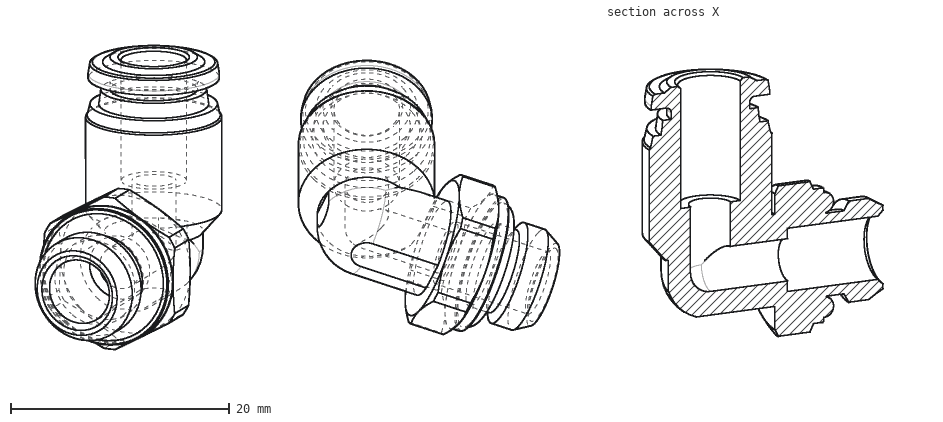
import cadquery as cq
import math

elbow_radius = 4.54
elbow_flat = 4.3
passage_radius = 4.0 / 2
bore_radius = 6.0 / 2

body_radius = 12.5 / 2
body_cone_bottom = 1.49
body_bottom = 3.48
body_top = 12.3
body_bevel_radius = 6.1
body_bevel_bottom = 12.47
body_shoulder_radius = 5.85
body_shoulder = 13.55
collar_bottom_radius = 5.05
collar_radius = 9.73 / 2
collar_top = 14.95
neck_radius = 4.0
neck_fillet = 0.48
button_bottom = 16.03
button_radius = 6.02
button_band_top = 16.45
button_shoulder_radius = 5.87
button_shoulder = 17.55
button_edge_radius = 5.62
button_edge_height = 0.15
rim_base_radius = 4.69
socket_top = 18.0
socket_floor = 6.3
socket_chamfer = 0.28

hex_start = 6.5
hex_end = 10.43
hex_across_flats = 13.0
hex_corner_radius = 7.2
hex_chamfer_length = 0.35
flange_radius = 12.9 / 2
flange_end = 11.5
flange_chamfer = 0.1
seal_outer_radius = 12.0 / 2
stem_radius = 8.0 / 2
stem_end = 13.5
thread_radius = 9.73 / 2
thread_start = 13.99
thread_end = 16.0
stud_end = 17.5
stud_floor = 7.8
stud_chamfer = 0.53


def revolve_about_z(profile):
    """Turn (radius, height) points, closed along the axis, into a solid about Z."""
    points = [(0, profile[0][1])] + profile + [(0, profile[-1][1])]
    return cq.Workplane("XZ").polyline(points).close().revolve(360, (0, 0, 0), (0, 1, 0))


def along_stud(solid):
    """Swing a solid built along +Z so that it points along -Y."""
    return solid.rotate((0, 0, 0), (1, 0, 0), 90)


def round_elbow(radius, leg_up, leg_out):
    """Two equal cylinders meeting in a ball at the origin."""
    up = cq.Workplane("XY").circle(radius).extrude(leg_up)
    out = along_stud(cq.Workplane("XY").circle(radius).extrude(leg_out))
    return cq.Workplane("XY").sphere(radius).union(up).union(out)


def make_elbow():
    elbow = round_elbow(elbow_radius, body_bottom, hex_start)
    size = 2 * body_radius
    limits = cq.Workplane("XY").box(size, size, size, centered=(True, False, False))
    return elbow.intersect(limits.translate((0, elbow_flat - size, -elbow_flat)))


def make_socket():
    socket = revolve_about_z([
        (elbow_radius, body_cone_bottom),
        (body_radius, body_bottom),
        (body_radius, body_top),
        (body_bevel_radius, body_bevel_bottom),
        (body_shoulder_radius, body_shoulder),
        (collar_bottom_radius, body_shoulder),
        (collar_radius, collar_top),
        (neck_radius, collar_top),
        (neck_radius, button_bottom),
        (button_radius, button_bottom),
        (button_radius, button_band_top),
        (button_shoulder_radius, button_shoulder - button_edge_height),
        (button_edge_radius, button_shoulder),
        (rim_base_radius, button_shoulder),
        (neck_radius, socket_top),
    ])
    blend_bottom = button_bottom - neck_fillet
    blend_radius = neck_radius + neck_fillet
    arc_middle = neck_fillet * math.sqrt(0.5)
    blend = (
        cq.Workplane("XZ")
        .moveTo(neck_radius, blend_bottom)
        .threePointArc((blend_radius - arc_middle, blend_bottom + arc_middle), (blend_radius, button_bottom))
        .lineTo(neck_radius, button_bottom)
        .close()
        .revolve(360, (0, 0, 0), (0, 1, 0))
    )
    return socket.union(blend)


def make_hexagon():
    hexagon = (
        cq.Workplane("XY", origin=(0, 0, hex_start))
        .polygon(6, hex_across_flats, circumscribed=True)
        .extrude(hex_end - hex_start)
    )
    face_radius = hex_across_flats / 2
    envelope = revolve_about_z([
        (face_radius, hex_start),
        (hex_corner_radius, hex_start + hex_chamfer_length),
        (hex_corner_radius, hex_end - hex_chamfer_length),
        (face_radius, hex_end),
    ])
    return along_stud(hexagon.intersect(envelope))


def make_stud():
    stud = revolve_about_z([
        (flange_radius, hex_end),
        (flange_radius, flange_end - flange_chamfer),
        (flange_radius - flange_chamfer, flange_end),
        (stem_radius, flange_end),
        (stem_radius, stem_end),
        (thread_radius, thread_start),
        (thread_radius, thread_end),
        (stem_radius, stud_end),
    ])
    seal_thickness = (seal_outer_radius - stem_radius) / 2
    seal_middle = (seal_outer_radius + stem_radius) / 2
    seal = (
        cq.Workplane("XZ")
        .moveTo(stem_radius, flange_end)
        .threePointArc((seal_middle, flange_end + seal_thickness), (seal_outer_radius, flange_end))
        .close()
        .revolve(360, (0, 0, 0), (0, 1, 0))
    )
    return along_stud(stud.union(seal))


def make_bore(floor, mouth, chamfer):
    return revolve_about_z([
        (bore_radius, floor),
        (bore_radius, mouth - chamfer),
        (bore_radius + chamfer, mouth),
    ])


result = make_elbow().union(make_socket()).union(make_hexagon()).union(make_stud())
result = result.cut(round_elbow(passage_radius, socket_floor, stud_floor))
result = result.cut(make_bore(socket_floor, socket_top, socket_chamfer))
result = result.cut(along_stud(make_bore(stud_floor, stud_end, stud_chamfer)))